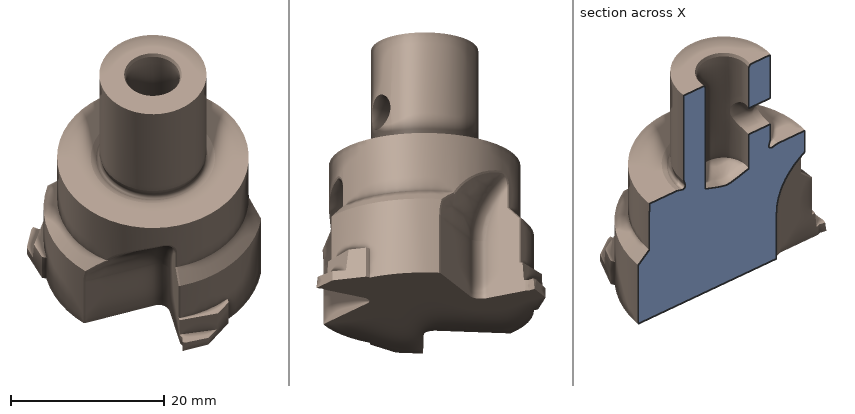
import cadquery as cq
import math

TEETH = 3
OVERSHOOT = 0.35
TOLERANCE = 0.005

TOTAL_HEIGHT = 36.0
HEAD_RADIUS = 14.25
COLLAR_RADIUS = 12.5
SHANK_RADIUS = 7.0
COLLAR_BOTTOM = 12.02
COLLAR_TOP = 20.0
CONE_BOTTOM = COLLAR_BOTTOM - (HEAD_RADIUS - COLLAR_RADIUS)

UNDERCUT_TOP = 21.15
NECK_RADIUS = 6.75
NECK_BOTTOM = 20.3
UNDERCUT_FLOOR_RADIUS = 7.4
UNDERCUT_FLOOR = 19.85
UNDERCUT_OUTER_RADIUS = 8.1

BORE_RADIUS = 3.53
BORE_MOUTH_RADIUS = 3.75
BORE_CHAMFER_DEPTH = 0.45
BORE_FLOOR = 18.0
DRILL_POINT_ANGLE = 140.0
CROSS_HOLE_RADIUS = 2.35
CROSS_HOLE_HEIGHT = 26.17

GULLET_CORNER_RADIUS = 1.48
GULLET_WALL_START = 9.2
GULLET_FLOOR_TILT = 5.3
GULLET_STRAIGHT_HEIGHT = 8.0
GULLET_RUNOUT_RADIUS = 8.45
BEVEL_ON_GULLET = 0.1
BEVEL_ON_OUTSIDE = 0.2

INSERT_INNER = GULLET_WALL_START
INSERT_DEPTH = 7.0
INSERT_HEIGHT = 4.05
HEEL_OUTER = 13.05
FLANK_DEPTH = 3.53
FLANK_OUTER = 16.1
TIP_OUTER = 16.4
SHOULDER_TOP_OUTER = 14.6
SHOULDER_FOOT_OUTER = 14.85
TIP_HEIGHT = 1.5
TIP_RELIEF_ANGLE = 3.6
CHIP_GROOVE_DEPTH = 0.18
CHIP_GROOVE_START = 15.05
CHIP_GROOVE_CENTER = 15.45
CORNER_FACET_WIDTH = 0.58
CORNER_FACET_SETBACK = 0.18


def at_station(workplane, index):
    """Turn a feature of the first station to the given station."""
    return workplane.rotate((0, 0, 0), (0, 0, 1), index * 360.0 / TEETH)


def turned_blank():
    return (
        cq.Workplane("XZ")
        .moveTo(0, 0)
        .lineTo(HEAD_RADIUS, 0)
        .lineTo(HEAD_RADIUS, CONE_BOTTOM)
        .lineTo(COLLAR_RADIUS, COLLAR_BOTTOM)
        .lineTo(COLLAR_RADIUS, COLLAR_TOP)
        .lineTo(SHANK_RADIUS, COLLAR_TOP)
        .lineTo(SHANK_RADIUS, TOTAL_HEIGHT)
        .lineTo(0, TOTAL_HEIGHT)
        .close()
        .revolve(360, (0, 0), (0, 1))
    )


def undercut():
    """Ring that relieves the corner between the shank and the collar face."""
    return (
        cq.Workplane("XZ")
        .moveTo(SHANK_RADIUS, UNDERCUT_TOP)
        .lineTo(NECK_RADIUS, NECK_BOTTOM)
        .tangentArcPoint((UNDERCUT_FLOOR_RADIUS, UNDERCUT_FLOOR), relative=False)
        .lineTo(UNDERCUT_OUTER_RADIUS, COLLAR_TOP)
        .lineTo(UNDERCUT_OUTER_RADIUS, UNDERCUT_TOP)
        .close()
        .revolve(360, (0, 0), (0, 1))
    )


def bore():
    point_depth = BORE_RADIUS / math.tan(math.radians(DRILL_POINT_ANGLE / 2))
    return (
        cq.Workplane("XZ")
        .moveTo(0, BORE_FLOOR - point_depth)
        .lineTo(BORE_RADIUS, BORE_FLOOR)
        .lineTo(BORE_RADIUS, TOTAL_HEIGHT - BORE_CHAMFER_DEPTH)
        .lineTo(BORE_MOUTH_RADIUS, TOTAL_HEIGHT)
        .lineTo(0, TOTAL_HEIGHT)
        .close()
        .revolve(360, (0, 0), (0, 1))
    )


def cross_hole():
    """Radial hole from the +Y side of the shank into the bore."""
    return (
        cq.Workplane("XZ")
        .center(0, CROSS_HOLE_HEIGHT)
        .circle(CROSS_HOLE_RADIUS)
        .extrude(-(SHANK_RADIUS + OVERSHOOT))
    )


def gullet():
    """Straight gullet from the bottom face that runs out of the body along a quarter turn."""
    runout_axis = GULLET_WALL_START + GULLET_RUNOUT_RADIUS
    tilt = math.radians(GULLET_FLOOR_TILT)

    def corner_point(angle):
        return (
            GULLET_CORNER_RADIUS * (1 + math.cos(angle)),
            GULLET_WALL_START + GULLET_CORNER_RADIUS * math.sin(angle),
        )

    wall_angle = math.pi
    floor_angle = 1.5 * math.pi + tilt
    floor_start = corner_point(floor_angle)
    floor_end = HEAD_RADIUS + OVERSHOOT
    floor_rise = (floor_end - floor_start[0]) * math.tan(tilt)

    def section(height):
        return (
            cq.Workplane("XY", origin=(0, 0, height))
            .moveTo(0, runout_axis)
            .lineTo(0, GULLET_WALL_START)
            .threePointArc(corner_point((wall_angle + floor_angle) / 2), floor_start)
            .lineTo(floor_end, floor_start[1] + floor_rise)
            .lineTo(floor_end, runout_axis)
            .close()
        )

    straight = section(-OVERSHOOT).extrude(GULLET_STRAIGHT_HEIGHT + OVERSHOOT)
    runout = section(GULLET_STRAIGHT_HEIGHT).revolve(90, (0.35, runout_axis), (0, runout_axis))
    return straight.union(runout)


def is_gullet_rim(edge):
    """True for edges on the outside of the body that a gullet made."""
    samples = [edge.positionAt(t) for t in (0.0, 0.3, 0.7, 1.0)]
    for point in samples:
        radius = math.hypot(point.x, point.y)
        cone_radius = HEAD_RADIUS - (point.z - CONE_BOTTOM)
        outer_radius = min(HEAD_RADIUS, max(COLLAR_RADIUS, cone_radius))
        if abs(radius - outer_radius) > TOLERANCE:
            return False
    heights = [point.z for point in samples]
    is_level = max(heights) - min(heights) < TOLERANCE
    is_seam = all(abs(point.y) < TOLERANCE for point in samples)
    return not (is_level or is_seam)


def is_curved_cone_rim(edge):
    """True for the rims that the runout of a gullet cuts across the cone."""
    return edge.geomType() != "LINE" and CONE_BOTTOM < edge.Center().z < COLLAR_BOTTOM


def bevel_gullet_rims(body):
    """Chamfer the gullet rims in two groups, because the cone and collar rims meet in a hollow kink."""
    rims = [edge for edge in body.edges().vals() if is_gullet_rim(edge)]
    cone_rims = [edge for edge in rims if is_curved_cone_rim(edge)]
    other_rims = [edge for edge in rims if not is_curved_cone_rim(edge)]
    bevelled_cone = body.newObject(cone_rims).chamfer(BEVEL_ON_GULLET, BEVEL_ON_OUTSIDE)
    bevelled_rest = body.newObject(other_rims).chamfer(BEVEL_ON_GULLET, BEVEL_ON_OUTSIDE)
    return bevelled_cone.intersect(bevelled_rest)


def insert_blank():
    """Full outline of an insert, which is also the shape of its seat in the body."""
    return (
        cq.Workplane("XY")
        .polyline(
            [
                (0, INSERT_INNER),
                (0, TIP_OUTER),
                (-FLANK_DEPTH, FLANK_OUTER),
                (-INSERT_DEPTH, HEEL_OUTER),
                (-INSERT_DEPTH, INSERT_INNER),
            ]
        )
        .close()
        .extrude(INSERT_HEIGHT)
    )


def insert_shoulder_cut():
    """Step above the cutting tip, with a leaning side and a floor that drops away from the rake."""
    relief = math.tan(math.radians(TIP_RELIEF_ANGLE))
    floor_back = TIP_HEIGHT - INSERT_DEPTH * relief
    reach = TIP_OUTER + OVERSHOOT
    above_floor = (
        cq.Workplane("XZ", origin=(0, reach, 0))
        .polyline(
            [
                (0, TIP_HEIGHT),
                (-INSERT_DEPTH, floor_back),
                (-INSERT_DEPTH, INSERT_HEIGHT),
                (0, INSERT_HEIGHT),
            ]
        )
        .close()
        .extrude(reach - INSERT_INNER)
    )
    lean = (SHOULDER_FOOT_OUTER - SHOULDER_TOP_OUTER) / (INSERT_HEIGHT - TIP_HEIGHT)
    beyond_side = (
        cq.Workplane("YZ")
        .polyline(
            [
                (SHOULDER_TOP_OUTER + lean * INSERT_HEIGHT, 0),
                (SHOULDER_TOP_OUTER, INSERT_HEIGHT),
                (reach, INSERT_HEIGHT),
                (reach, 0),
            ]
        )
        .close()
        .extrude(-INSERT_DEPTH)
    )
    return above_floor.intersect(beyond_side)


def chip_groove():
    """Shallow V groove in the rake face of the tip."""
    return (
        cq.Workplane("XY")
        .polyline(
            [
                (0, CHIP_GROOVE_START),
                (-CHIP_GROOVE_DEPTH, CHIP_GROOVE_CENTER),
                (0, TIP_OUTER),
            ]
        )
        .close()
        .extrude(TIP_HEIGHT)
    )


def corner_facet():
    """Wedge that bevels the cutting corner, from nothing at the bottom to its width at the top."""
    flank_slope = (TIP_OUTER - FLANK_OUTER) / FLANK_DEPTH
    corner = cq.Vector(0, TIP_OUTER, 0)
    to_rake = cq.Vector(0, -CORNER_FACET_SETBACK, TIP_HEIGHT)
    to_flank = cq.Vector(-CORNER_FACET_WIDTH, -CORNER_FACET_WIDTH * flank_slope, TIP_HEIGHT)
    outward = to_rake.cross(to_flank)
    if outward.y < 0:
        outward = outward * -1
    facet_plane = cq.Plane(origin=corner, xDir=to_rake, normal=outward)
    size = 4 * TIP_HEIGHT
    return cq.Workplane(facet_plane).rect(size, size).extrude(OVERSHOOT)


def cutter_body():
    body = turned_blank().cut(undercut()).cut(bore()).cut(cross_hole())
    for index in range(TEETH):
        body = body.cut(at_station(gullet(), index))
    body = bevel_gullet_rims(body)
    for index in range(TEETH):
        body = body.cut(at_station(insert_blank(), index))
    return body


def insert(index):
    shape = insert_blank().cut(insert_shoulder_cut()).cut(chip_groove()).cut(corner_facet())
    return at_station(shape, index)


body = cutter_body()
inserts = [insert(index) for index in range(TEETH)]
result = cq.Compound.makeCompound([body.val(), *[tooth.val() for tooth in inserts]])